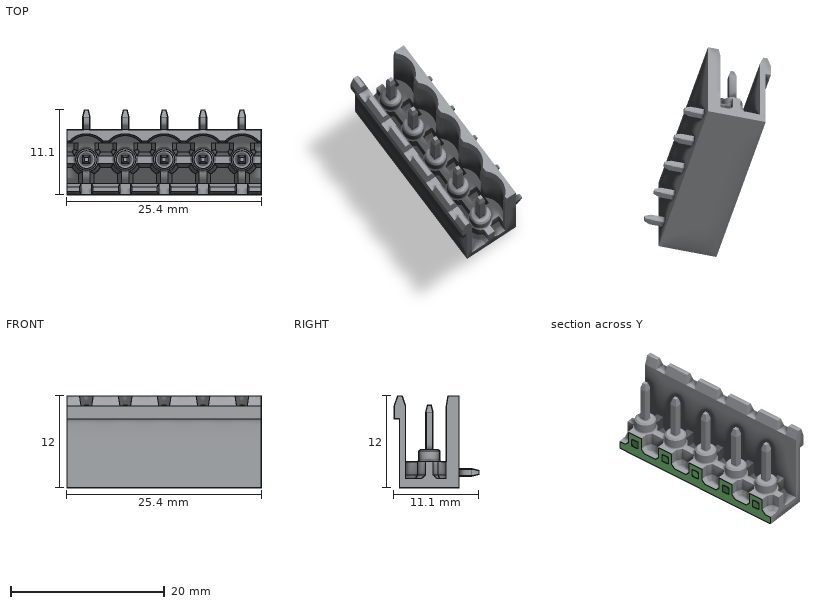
import cadquery as cq


pin_count = 5
pitch = 5.08
housing_length = pin_count * pitch
pin_positions = [(i - (pin_count - 1) / 2) * pitch for i in range(pin_count)]

housing_height = 12.0
floor_z = 1.2
back_y = 3.9
back_wall = 1.7
front_wall = 0.8
lip_overhang = 0.7
housing_depth = 8.5
lip_y = back_y - housing_depth
front_y = lip_y + lip_overhang
back_inner_y = back_y - back_wall
front_inner_y = front_y + front_wall
lip_z = 9.0
taper_z = housing_height - 1.3
back_lead_in = 0.23
lip_slope = 0.45

notch_floor_width = 1.4
notch_top_width = 1.8

scallop_radius = 2.74
scallop_center_y = 0.4

support_z = 3.43
foot_flare = 0.5
rib_width = 1.0
column_radius = 1.6
block_width = 2.24

collar_z = 5.0
collar_radius = 1.39
collar_top_chamfer = 0.23
collar_base_fillet = column_radius - collar_radius

pin_width = 1.0
pin_edge_chamfer = 0.1
pin_tip_width = 0.5
pin_tip_length = 1.0
pin_top_z = 10.8
tail_z = 2.0
tail_end_y = back_y + 2.6
elbow = pin_width / 2


def make_shell():
    """U-shaped channel with a hooked front lip, extruded along the row."""
    profile = [
        (back_y, 0),
        (back_y, housing_height),
        (back_inner_y + back_lead_in, housing_height),
        (back_inner_y, taper_z),
        (back_inner_y, floor_z),
        (front_inner_y, floor_z),
        (front_inner_y, taper_z),
        (front_inner_y - lip_slope, housing_height),
        (lip_y + lip_slope, housing_height),
        (lip_y, taper_z),
        (lip_y, lip_z),
        (front_y, lip_z),
        (front_y, 0),
    ]
    return cq.Workplane("YZ").polyline(profile).close().extrude(housing_length / 2, both=True)


def make_notch(x):
    """Cutter for a notch that widens toward the top of the front wall."""
    profile = [
        (x - notch_floor_width / 2, taper_z),
        (x + notch_floor_width / 2, taper_z),
        (x + notch_top_width / 2, housing_height),
        (x - notch_top_width / 2, housing_height),
    ]
    cutter = cq.Workplane("XZ", origin=(0, front_inner_y, 0)).polyline(profile).close()
    return cutter.extrude(front_inner_y - lip_y)


def make_scallop(x):
    """Cutter for a round scallop with a conical mouth."""
    profile = [
        (0, support_z),
        (scallop_radius, support_z),
        (scallop_radius, taper_z),
        (scallop_radius + back_lead_in, housing_height),
        (0, housing_height),
    ]
    cutter = cq.Workplane("XZ", origin=(x, scallop_center_y, 0)).polyline(profile).close()
    cutter = cutter.revolve(360, (0, 0, 0), (0, 1, 0))
    wall_zone = cq.Workplane("XY", origin=(x, back_inner_y, support_z)).box(
        pitch, back_wall, housing_height - support_z, centered=(True, False, False)
    )
    return cutter.intersect(wall_zone)


def flared_half_profile(half_width):
    """Half section of a support: floor level to top, with the flared foot."""
    return [
        (0, floor_z),
        (half_width + foot_flare, floor_z),
        (half_width, floor_z + foot_flare),
        (half_width, support_z),
        (0, support_z),
    ]


def flared_rib(plane, width, start, length):
    """Straight support with flared sides, extruded along the normal of the plane."""
    right_side = flared_half_profile(width / 2)
    left_side = [(-u, z) for u, z in reversed(right_side[1:-1])]
    profile = cq.Workplane(plane, origin=start).polyline(right_side[1:-1] + left_side).close()
    return profile.extrude(length)


def make_row_rib():
    """Rib joining all the columns along the row."""
    return flared_rib("YZ", rib_width, (-housing_length / 2, 0, 0), housing_length)


def make_front_rib(x):
    """Narrow rib from the column to the front wall."""
    return flared_rib("XZ", rib_width, (x, 0, 0), -front_inner_y)


def make_back_block(x):
    """Wide block from the column to the back wall."""
    return flared_rib("XZ", block_width, (x, back_inner_y, 0), back_inner_y)


def make_column(x):
    """Round column with a conical foot, topped by the collar."""
    column = cq.Workplane("XZ", origin=(x, 0, 0)).polyline(flared_half_profile(column_radius)).close()
    column = column.revolve(360, (0, 0, 0), (0, 1, 0))
    collar = (
        cq.Workplane("XZ", origin=(x, 0, 0))
        .moveTo(0, support_z)
        .lineTo(column_radius, support_z)
        .radiusArc((collar_radius, support_z + collar_base_fillet), collar_base_fillet)
        .lineTo(collar_radius, collar_z - collar_top_chamfer)
        .lineTo(collar_radius - collar_top_chamfer, collar_z)
        .lineTo(0, collar_z)
        .close()
        .revolve(360, (0, 0, 0), (0, 1, 0))
    )
    return column.union(collar)


def make_bar(length):
    """Square bar rising along Z from the origin, with chamfered edges and a tapered tip."""
    bar = cq.Workplane("XY").rect(pin_width, pin_width).extrude(length).edges("|Z").chamfer(pin_edge_chamfer)
    shank_length = length - pin_tip_length
    shank = cq.Workplane("XY").rect(pin_width, pin_width).extrude(shank_length)
    tip = (
        cq.Workplane("XY", origin=(0, 0, shank_length))
        .rect(pin_width, pin_width)
        .workplane(offset=pin_tip_length)
        .rect(pin_tip_width, pin_tip_width)
        .loft()
    )
    return bar.intersect(shank.union(tip))


def make_pin(x):
    """Right-angle pin: an upright contact and a tail leaving through the back wall."""
    upright = make_bar(pin_top_z - tail_z + elbow).translate((x, 0, tail_z - elbow))
    tail = make_bar(tail_end_y + elbow).rotate((0, 0, 0), (1, 0, 0), -90).translate((x, -elbow, tail_z))
    return upright.union(tail)


def make_pin_hole(x):
    """Cutter for the plain square hole that holds the chamfered pin."""
    upright_hole = cq.Workplane("XY", origin=(x, 0, tail_z - elbow)).rect(pin_width, pin_width)
    upright_hole = upright_hole.extrude(collar_z - tail_z + elbow)
    tail_hole = cq.Workplane("XZ", origin=(x, -elbow, tail_z)).rect(pin_width, pin_width)
    tail_hole = tail_hole.extrude(-(back_y + elbow))
    return upright_hole.union(tail_hole)


def make_housing():
    """Shell with its notches, scallops, supports and pin holes."""
    housing = make_shell().union(make_row_rib())
    for x in pin_positions:
        housing = housing.cut(make_notch(x)).cut(make_scallop(x))
        housing = housing.union(make_front_rib(x)).union(make_back_block(x)).union(make_column(x))
        housing = housing.cut(make_pin_hole(x))
    return housing


pins = [make_pin(x) for x in pin_positions]
housing = make_housing()

result = cq.Compound.makeCompound([housing.val(), *[pin.val() for pin in pins]])